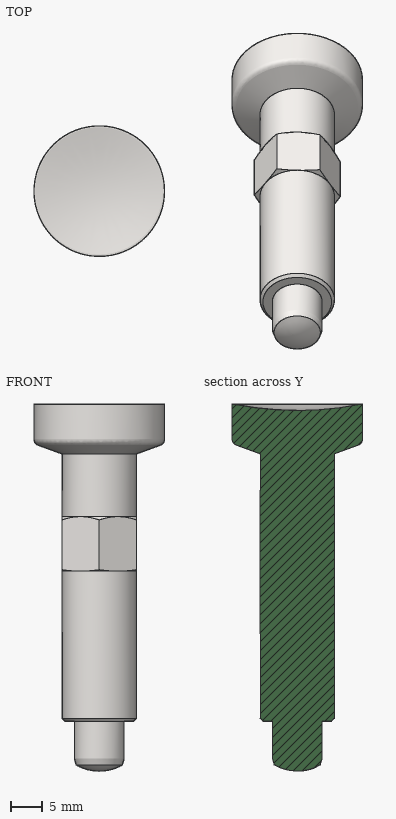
import cadquery as cq
import math

TOTAL_HEIGHT = 59.0
KNOB_RADIUS = 10.5
KNOB_HEIGHT = 8.0
KNOB_CONE_ANGLE = 20.0
KNOB_FILLET = 1.0
KNOB_RIM_WIDTH = 0.3
KNOB_DISH_DEPTH = 1.0
BODY_DIAMETER = 12.0
BODY_RADIUS = BODY_DIAMETER / 2
BODY_BOTTOM_Z = 8.0
BODY_CHAMFER = 0.5
HEX_TOP_Z = 41.0
HEX_HEIGHT = 8.85
HEX_TOP_FACE_RADIUS = 5.85
HEX_TOP_CHAMFER_ANGLE = 30.0
HEX_BOTTOM_CHAMFER_HEIGHT = 0.25
PIN_RADIUS = 4.0
PIN_TAPER_TOP_Z = 2.0
TIP_RADIUS = 3.7
TIP_DOME_HEIGHT = 1.0


def cylinder(radius, bottom_z, top_z):
    return cq.Workplane("XY").workplane(offset=bottom_z).circle(radius).extrude(top_z - bottom_z)


def make_knob():
    """Round knob with a conical underside and a shallow dish in its top."""
    bottom_z = TOTAL_HEIGHT - KNOB_HEIGHT
    cone_slope = math.tan(math.radians(KNOB_CONE_ANGLE))
    cone_top_z = bottom_z + (KNOB_RADIUS - BODY_RADIUS) * cone_slope
    dish_radius = KNOB_RADIUS - KNOB_RIM_WIDTH
    sphere_radius = (dish_radius**2 + KNOB_DISH_DEPTH**2) / (2 * KNOB_DISH_DEPTH)
    dish_bottom_z = TOTAL_HEIGHT - KNOB_DISH_DEPTH
    dish_mid_radius = dish_radius / 2
    dish_mid_z = dish_bottom_z + sphere_radius - math.sqrt(sphere_radius**2 - dish_mid_radius**2)
    knob = (
        cq.Workplane("XZ")
        .moveTo(0, bottom_z)
        .lineTo(BODY_RADIUS, bottom_z)
        .lineTo(KNOB_RADIUS, cone_top_z)
        .lineTo(KNOB_RADIUS, TOTAL_HEIGHT)
        .lineTo(dish_radius, TOTAL_HEIGHT)
        .threePointArc((dish_mid_radius, dish_mid_z), (0, dish_bottom_z))
        .close()
        .revolve(360, (0, 0, 0), (0, 1, 0))
    )
    lower_rim = cq.selectors.NearestToPointSelector((0, 0, cone_top_z))
    return knob.edges("%CIRCLE").edges(lower_rim).fillet(KNOB_FILLET)


def make_hex():
    """Hexagon with corners on Y, its ends trimmed by cones."""
    bottom_z = HEX_TOP_Z - HEX_HEIGHT
    corner_radius = BODY_RADIUS / math.cos(math.radians(30))
    prism = (
        cq.Workplane("XY")
        .workplane(offset=bottom_z)
        .polygon(6, 2 * corner_radius)
        .extrude(HEX_HEIGHT)
        .rotate((0, 0, 0), (0, 0, 1), 30)
    )
    top_chamfer_width = corner_radius - HEX_TOP_FACE_RADIUS
    top_chamfer_height = top_chamfer_width * math.tan(math.radians(HEX_TOP_CHAMFER_ANGLE))
    trim = (
        cylinder(corner_radius, bottom_z, HEX_TOP_Z)
        .faces(">Z")
        .chamfer(top_chamfer_height, top_chamfer_width)
        .faces("<Z")
        .chamfer(HEX_BOTTOM_CHAMFER_HEIGHT, corner_radius - BODY_RADIUS)
    )
    return prism.intersect(trim)


def make_body():
    """Plain cylinder from the knob down to the chamfered lower end."""
    body = cylinder(BODY_RADIUS, BODY_BOTTOM_Z, TOTAL_HEIGHT - KNOB_HEIGHT)
    return body.faces("<Z").chamfer(BODY_CHAMFER)


def make_pin():
    """Locking pin with a slightly tapered end and a spherical tip."""
    sphere_radius = (TIP_RADIUS**2 + TIP_DOME_HEIGHT**2) / (2 * TIP_DOME_HEIGHT)
    dome_mid_radius = TIP_RADIUS / 2
    dome_mid_z = sphere_radius - math.sqrt(sphere_radius**2 - dome_mid_radius**2)
    return (
        cq.Workplane("XZ")
        .moveTo(0, 0)
        .threePointArc((dome_mid_radius, dome_mid_z), (TIP_RADIUS, TIP_DOME_HEIGHT))
        .lineTo(PIN_RADIUS, PIN_TAPER_TOP_Z)
        .lineTo(PIN_RADIUS, BODY_BOTTOM_Z)
        .lineTo(0, BODY_BOTTOM_Z)
        .close()
        .revolve(360, (0, 0, 0), (0, 1, 0))
    )


result = make_body().union(make_hex()).union(make_knob()).union(make_pin())